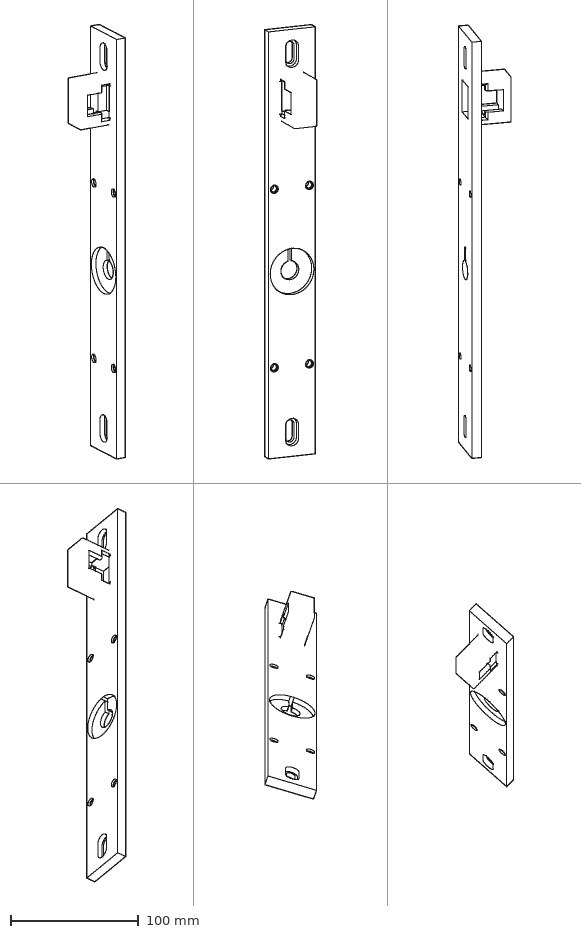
import cadquery as cq

plate_width = 40.0
plate_thickness = 8.0
plate_height = 345.0

slot_width = 7.0
slot_length = 18.0
slot_ledge = 2.0
slot_recess_depth = 4.0
slot_end_distance = 19.5

screw_hole_diameter = 5.0
screw_head_diameter = 6.5
screw_head_depth = 1.7
screw_spacing = 30.0
screw_upper_z = 45.0
screw_lower_z = -99.5

dial_z = -23.0
dial_diameter = 37.3
dial_depth = 4.0
bore_diameter = 15.2
keyway_width = 3.0

housing_z = 118.5
housing_width = 19.5
housing_height = 38.0
housing_depth = 27.0
housing_edge_radius = 1.0
foot_radius = 1.0

throat_height = 26.5
throat_depth = 6.2
throat_chamfer = 1.7
window_height = 17.5
window_depth = 20.5

pocket_width = 17.2
cavity_width = 10.5
cavity_height = 25.2


def housing_block(width, depth, height):
    """Block centred on the housing, reaching from the plate front face towards -Y."""
    return cq.Workplane("XY").box(width, depth, height).translate((0, -depth / 2, housing_z))


def front_plane(x, z):
    """Sketch plane on the plate front face, its normal pointing into the plate."""
    return cq.Workplane(cq.Plane((x, 0, z), xDir=(1, 0, 0), normal=(0, 1, 0)))


def make_plate():
    plate = cq.Workplane("XY").box(plate_width, plate_thickness, plate_height)
    return plate.translate((0, plate_thickness / 2, 0))


def add_housing(body):
    """Join the housing with rounded outer edges and a fillet around its foot."""
    housing = housing_block(housing_width, housing_depth, housing_height)
    housing = housing.edges("<Y or |Y").fillet(housing_edge_radius)
    margin = 0.5
    reach_x = housing_width / 2 + margin
    reach_z = housing_height / 2 + margin
    foot_edges = cq.selectors.BoxSelector(
        (-reach_x, -margin, housing_z - reach_z),
        (reach_x, margin, housing_z + reach_z),
    )
    return body.union(housing).edges(foot_edges).fillet(foot_radius)


def throat_flare(side):
    """Chamfer cutter around the throat mouth on one side (-1 or +1) of the housing."""
    flare = (
        cq.Workplane("YZ", origin=(side * housing_width / 2, 0, housing_z))
        .rect(2 * (throat_depth + throat_chamfer), throat_height + 2 * throat_chamfer)
        .workplane(offset=-side * throat_chamfer)
        .rect(2 * throat_depth, throat_height)
        .loft(ruled=True)
    )
    return flare.intersect(housing_block(plate_width, housing_depth, housing_height))


def cut_side_opening(body):
    body = body.cut(housing_block(plate_width, throat_depth, throat_height))
    body = body.cut(housing_block(plate_width, window_depth, window_height))
    for side in (-1, 1):
        body = body.cut(throat_flare(side))
    return body


def cut_hollow(body):
    pocket = front_plane(0, housing_z).rect(pocket_width, throat_height).extrude(plate_thickness)
    throat = housing_block(pocket_width, throat_depth, throat_height)
    cavity = housing_block(cavity_width, window_depth, cavity_height)
    return body.cut(pocket).cut(throat).cut(cavity)


def cut_slots(body):
    """Upright through slots, each inside a wider recess on the front."""
    for end in (-1, 1):
        center = front_plane(0, end * (plate_height / 2 - slot_end_distance))
        through = center.slot2D(slot_length, slot_width, 90).extrude(plate_thickness)
        recess = center.slot2D(slot_length + 2 * slot_ledge, slot_width + 2 * slot_ledge, 90)
        body = body.cut(through).cut(recess.extrude(slot_recess_depth))
    return body


def cut_screw_holes(body):
    for z in (screw_lower_z, screw_upper_z):
        for x in (-screw_spacing / 2, screw_spacing / 2):
            center = front_plane(x, z)
            hole = center.circle(screw_hole_diameter / 2).extrude(plate_thickness)
            head = center.circle(screw_head_diameter / 2).extrude(screw_head_depth)
            body = body.cut(hole).cut(head)
    return body


def cut_dial(body):
    """Round recess, through bore, and a keyway running up from the bore to the recess rim."""
    center = front_plane(0, dial_z)
    dial_radius = dial_diameter / 2
    recess = center.circle(dial_radius).extrude(dial_depth)
    bore = center.circle(bore_diameter / 2).extrude(plate_thickness)
    keyway_center = front_plane(0, dial_z + dial_radius / 2)
    keyway = keyway_center.rect(keyway_width, dial_radius).extrude(plate_thickness)
    return body.cut(recess).cut(bore).cut(keyway)


result = add_housing(make_plate())
result = cut_side_opening(result)
result = cut_hollow(result)
result = cut_slots(result)
result = cut_screw_holes(result)
result = cut_dial(result)